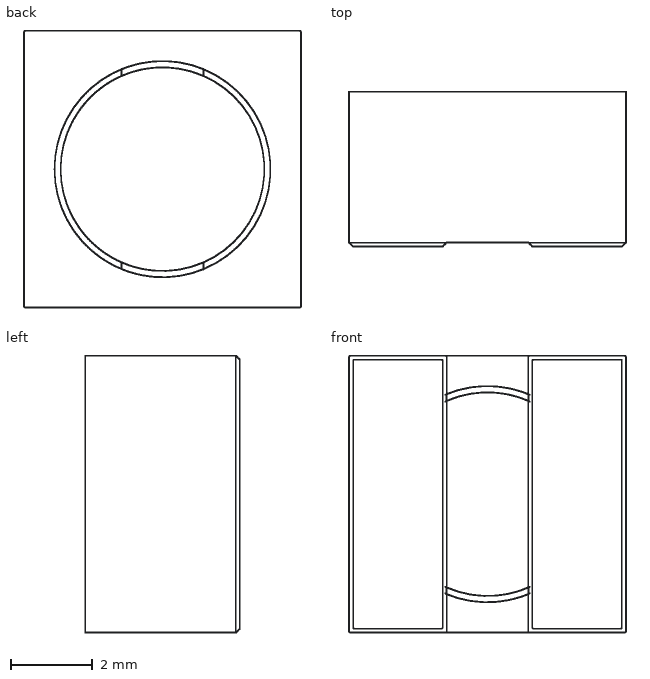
import cadquery as cq

width = 6.8
height = 6.8
depth = 3.8
back_y = depth / 2

pad_thickness = 0.1
body_depth = depth - pad_thickness
body_front_y = back_y - body_depth
corner_radius = 0.05

channel_width = 2.0
pad_width = (width - channel_width) / 2
pad_center_x = (channel_width + pad_width) / 2
pad_slope_angle = 45

core_radius = 2.5
gap_width = 0.15
gap_radius = core_radius + gap_width


def plane_at(y):
    """Plane facing -Y at the given Y, with local x along +X and local y along +Z."""
    return cq.Workplane("XZ", origin=(0, y, 0))


def make_outline_block():
    """Block of the full outer size with rounded edges along Y."""
    block = plane_at(back_y).rect(width, height).extrude(depth)
    return block.edges("|Y").fillet(corner_radius)


def make_body(outline_block):
    """Part of the block behind the pads, with a ring gap cut right through it."""
    slab = plane_at(back_y).rect(width, height).extrude(body_depth)
    ring = plane_at(back_y).circle(gap_radius).circle(core_radius).extrude(body_depth)
    return outline_block.intersect(slab).cut(ring)


def make_pad(side, outline_block):
    """Pad with sloping sides and rounded corners; it bridges the gap and holds the core."""
    pad = (
        plane_at(body_front_y)
        .center(side * pad_center_x, 0)
        .rect(pad_width, height)
        .extrude(pad_thickness, taper=pad_slope_angle)
    )
    slanted_corner_edges = pad.edges("not #Y")
    return slanted_corner_edges.fillet(corner_radius).intersect(outline_block)


outline_block = make_outline_block()
result = make_body(outline_block)
for side in (-1, 1):
    result = result.union(make_pad(side, outline_block))